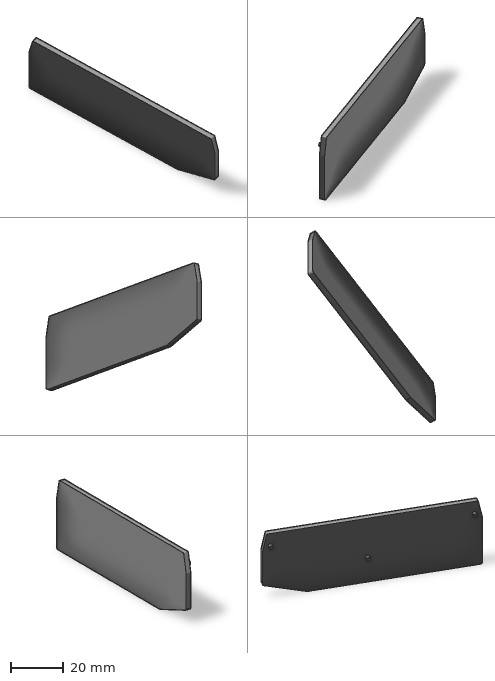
import cadquery as cq

length = 87.4
height = 29.4
total_depth = 3.7
pin_length = 1.5
plate_thickness = total_depth - pin_length

shoulder_inset = 1.75
shoulder_drop = 8.1
cut_length = 17.7
cut_height = 6.0
shoulder_corner_radius = 0.6
lower_corner_radius = 1.05

pin_diameter = 1.6
left_pin_x = -40.5
right_pin_x = 40.55
outer_pin_z = 9.2
middle_pin_x = 1.9
middle_pin_z = -3.2
pin_positions = [
    (left_pin_x, outer_pin_z),
    (right_pin_x, outer_pin_z),
    (middle_pin_x, middle_pin_z),
]

half_length = length / 2
half_height = height / 2
front_y = -total_depth / 2
back_y = front_y + plate_thickness


def make_plate():
    """Plate with sloping shoulders, a cut lower corner and rounded corners."""
    outline = [
        (-half_length, -half_height),
        (half_length - cut_length, -half_height),
        (half_length, -half_height + cut_height),
        (half_length, half_height - shoulder_drop),
        (half_length - shoulder_inset, half_height),
        (-half_length + shoulder_inset, half_height),
        (-half_length, half_height - shoulder_drop),
    ]
    plate = (
        cq.Workplane("XZ", origin=(0, front_y, 0))
        .polyline(outline)
        .close()
        .extrude(-plate_thickness)
    )
    plate = plate.faces(">Z").edges("|Y").fillet(shoulder_corner_radius)
    right_end = plate.faces(">X")
    plate = right_end.edges("|Y and <Z").fillet(lower_corner_radius)
    left_end = plate.faces("<X")
    return left_end.edges("|Y and <Z").fillet(lower_corner_radius)


def make_pin(x, z):
    """Round pin rising from the back face."""
    return (
        cq.Workplane("XZ", origin=(x, back_y, z))
        .circle(pin_diameter / 2)
        .extrude(-pin_length)
    )


result = make_plate()
for pin_x, pin_z in pin_positions:
    result = result.union(make_pin(pin_x, pin_z))